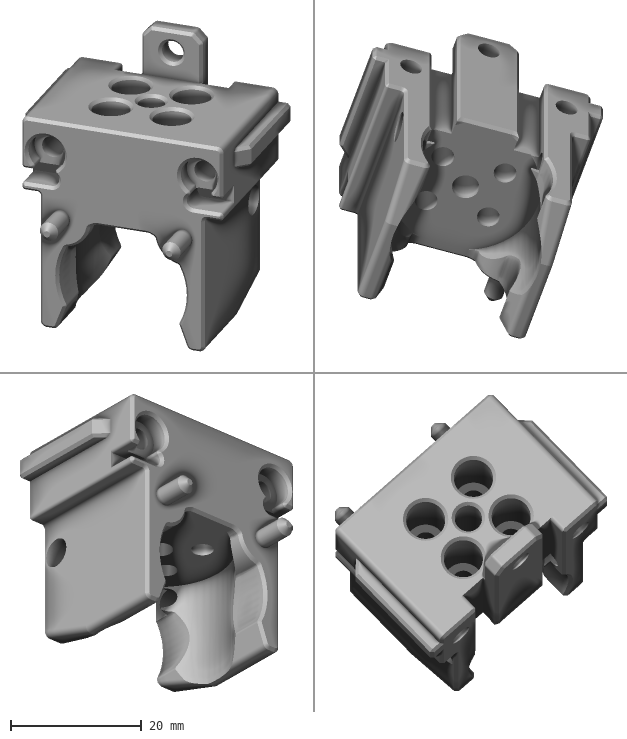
import cadquery as cq
import math

overall_width = 37.0
height = 43.1
depth = 24.4
edge_chamfer = 0.47
small_fillet = 0.5
large_fillet = 1.0

block_half_width = 16.5
block_bottom = 22.6
block_top = 34.95
leg_half_width = 13.5
leg_slope_start = 14.45
leg_rear_rise = 3.25

clip_radius = 10.45
clip_center = (0, 9.1)
clip_ceiling = 18.6
clip_corner_fillet = 1.95
lip_half_width = 9.2
lip_end_half_width = 10.75

pin_center = (10.05, 18.8)
pin_diameter = 3.0
pin_length = 5.0
pin_tip_length = 1.05
pin_tip_diameter = 1.05
pin_boss_radius = 4.75

tab_half_width = 5.0
tab_thickness = 3.1
tab_corner = 1.5
tab_corner_fillet = 0.65
tab_hole_z = 39.38

notch_outer_x = 9.05
notch_fillet = 0.65

rail_half_width = overall_width / 2
rail_bottom = 29.3
rail_top = 32.7
rail_front = 5.1

bore_y = 12.62
bore_radius = 11.65
center_hole_diameter = 4.2
screw_hole_diameter = 3.5
counterbore_diameter = 6.0
top_screw_x = 5.0
top_screw_pitch_y = 8.5
top_counterbore_depth = 11.2

front_screw = (12.5, 29.3)
front_counterbore_depth = 3.0
slot_bottom = 23.9
slot_top = 26.32
slot_depth = 5.0
slot_radius = (slot_top - slot_bottom) / 2
slot_end = (11.67, slot_bottom + slot_radius)

side_hole_y = 21.25
side_hole_z = 16.7
side_hole_mouth_diameter = 4.7
side_hole_diameter = 3.4
side_hole_taper_depth = 5.15

SIDES = (-1, 1)
BACKWARD = (0, 1, 0)
FORWARD = (0, -1, 0)
DOWN = (0, 0, -1)



def box(x_ends, y_ends, z_ends):
    """Block between two X, two Y and two Z positions; the X positions may come in either order."""
    x_start, x_stop = sorted(x_ends)
    size_y = y_ends[1] - y_ends[0]
    size_z = z_ends[1] - z_ends[0]
    block = cq.Workplane("XY").box(x_stop - x_start, size_y, size_z, centered=False)
    return block.translate((x_start, y_ends[0], z_ends[0]))


def cylinder(diameter, length, base, direction):
    return cq.Workplane(cq.Solid.makeCylinder(diameter / 2, length, cq.Vector(base), cq.Vector(direction)))


def cone(start_diameter, end_diameter, length, base, direction):
    return cq.Workplane(
        cq.Solid.makeCone(start_diameter / 2, end_diameter / 2, length, cq.Vector(base), cq.Vector(direction))
    )


def mouth_chamfer(hole_diameter, center, direction):
    """Cutter that widens the mouth of a hole running in the given direction."""
    return cone(hole_diameter + 2 * edge_chamfer, hole_diameter, edge_chamfer, center, direction)


def fillet_at(solid, radius, corner):
    """Round the front-to-back edges that run through the (x, z) corner and its mirror image."""
    tolerance = 0.05

    def is_at_corner(edge):
        middle = edge.Center()
        return math.dist((abs(middle.x), middle.z), corner) < tolerance

    return solid.edges("|Y").filter(is_at_corner).fillet(radius)



def point_on_circle(center, radius, angle):
    return (center[0] + radius * math.cos(angle), center[1] + radius * math.sin(angle))


def direction_angle(start, end):
    return math.atan2(end[1] - start[1], end[0] - start[0])


def circle_crossing(center, radius, other_center, other_radius, turn):
    """Crossing of two circles, to the left (turn = 1) or right (turn = -1) of their centre line."""
    distance = math.dist(center, other_center)
    cosine = (radius**2 + distance**2 - other_radius**2) / (2 * radius * distance)
    angle = direction_angle(center, other_center) + turn * math.acos(cosine)
    return point_on_circle(center, radius, angle)


lip_angle = -math.acos(lip_half_width / clip_radius)
ceiling_angle = math.asin((clip_ceiling - clip_center[1]) / clip_radius)
lip_corner = point_on_circle(clip_center, clip_radius, lip_angle)
boss_low = circle_crossing(clip_center, clip_radius, pin_center, pin_boss_radius, -1)
boss_high = circle_crossing(clip_center, clip_radius, pin_center, pin_boss_radius, 1)
ceiling_corner = point_on_circle(clip_center, clip_radius, ceiling_angle)



def clip_mouth():
    """Round opening with a flat ceiling and flared lips; the pin bosses bulge into it."""
    jaw_angle = (lip_angle + direction_angle(clip_center, boss_low)) / 2
    crown_angle = (direction_angle(clip_center, boss_high) + ceiling_angle) / 2
    boss_angle = direction_angle(pin_center, clip_center)
    half = (
        cq.Workplane("XZ")
        .lineTo(lip_end_half_width, 0)
        .lineTo(*lip_corner)
        .threePointArc(point_on_circle(clip_center, clip_radius, jaw_angle), boss_low)
        .threePointArc(point_on_circle(pin_center, pin_boss_radius, boss_angle), boss_high)
        .threePointArc(point_on_circle(clip_center, clip_radius, crown_angle), ceiling_corner)
        .lineTo(0, clip_ceiling)
        .close()
        .extrude(-depth)
    )
    return half.union(half.mirror("YZ"))


def rear_slope():
    """Wedge that lifts the rear of the leg tips."""
    return (
        cq.Workplane("YZ", origin=(-leg_half_width, 0, 0))
        .polyline([(leg_slope_start, 0), (depth, leg_rear_rise), (depth, 0)])
        .close()
        .extrude(2 * leg_half_width)
    )


def round_leg_tips(solid):
    """Round the long bottom edges of both legs, along the flat and along the rear slope."""
    tolerance = 0.05

    def is_long_tip_edge(edge):
        start, end = edge.startPoint(), edge.endPoint()
        is_low = max(start.z, end.z) < leg_rear_rise + tolerance
        runs_along_leg = abs(start.y - end.y) > abs(start.x - end.x)
        return is_low and runs_along_leg

    return solid.edges("not |Z").filter(is_long_tip_edge).fillet(large_fillet)


def block_and_legs():
    block = box((-block_half_width, block_half_width), (0, depth), (block_bottom, block_top))
    legs = box((-leg_half_width, leg_half_width), (0, depth), (0, block_bottom))
    solid = block.union(legs).cut(clip_mouth())
    solid = fillet_at(solid, large_fillet, (block_half_width, block_top))
    solid = fillet_at(solid, clip_corner_fillet, ceiling_corner)
    small_corners = [
        (block_half_width, block_bottom),
        (leg_half_width, block_bottom),
        lip_corner,
        boss_low,
        boss_high,
    ]
    for corner in small_corners:
        solid = fillet_at(solid, small_fillet, corner)
    return round_leg_tips(solid.cut(rear_slope()))


def rear_notch(side):
    """Full-height notch beside the tab, with a chamfered mouth and a rounded outer top edge."""
    front = depth - tab_thickness
    mouth = depth - edge_chamfer
    plan = [
        (side * tab_half_width, front),
        (side * notch_outer_x, front),
        (side * notch_outer_x, mouth),
        (side * (notch_outer_x + edge_chamfer), depth),
        (side * (tab_half_width - edge_chamfer), depth),
        (side * tab_half_width, mouth),
    ]
    notch = cq.Workplane("XY").polyline(plan).close().extrude(block_top)
    round_x = side * (notch_outer_x + notch_fillet)
    round_z = block_top - notch_fillet
    corner = box((side * notch_outer_x, round_x), (front, depth), (round_z, block_top))
    round_edge = cylinder(2 * notch_fillet, tab_thickness, (round_x, front, round_z), BACKWARD)
    return notch.union(corner.cut(round_edge))



def tab():
    """Upright plate with a screw hole; its foot is sunk into the rear edge of the block."""
    front = depth - tab_thickness
    foot = block_top - large_fillet
    corner_z = height - tab_corner
    corner_x = tab_half_width - tab_corner
    outline = [
        (tab_half_width, foot),
        (tab_half_width, corner_z),
        (corner_x, height),
        (-corner_x, height),
        (-tab_half_width, corner_z),
        (-tab_half_width, foot),
    ]
    plate = cq.Workplane("XZ", origin=(0, front, 0)).polyline(outline).close().extrude(-tab_thickness)
    plate = fillet_at(plate, tab_corner_fillet, (tab_half_width, corner_z))
    plate = fillet_at(plate, tab_corner_fillet, (corner_x, height))
    plate = plate.faces("<Y or >Y").edges("not <Z").chamfer(edge_chamfer)
    hole_center = (0, front, tab_hole_z)
    plate = plate.cut(cylinder(screw_hole_diameter, tab_thickness, hole_center, BACKWARD))
    return plate.cut(mouth_chamfer(screw_hole_diameter, hole_center, BACKWARD))


def rail(side):
    """Chamfered side rail with a 45 degree front end; its root is sunk into the block."""
    root_x = block_half_width - large_fillet
    root_front = rail_front - large_fillet
    plan = [
        (side * root_x, depth),
        (side * root_x, root_front),
        (side * rail_half_width, root_front + rail_half_width - root_x),
        (side * rail_half_width, depth),
    ]
    bar = cq.Workplane("XY", origin=(0, 0, rail_bottom)).polyline(plan).close()
    bar = bar.extrude(rail_top - rail_bottom)
    return bar.edges("#Z or >Y").chamfer(edge_chamfer)


def pin(side):
    """Pin with a conical tip."""
    x, z = side * pin_center[0], pin_center[1]
    shaft = cylinder(pin_diameter, pin_length, (x, 0, z), FORWARD)
    tip = cone(pin_diameter, pin_tip_diameter, pin_tip_length, (x, -pin_length, z), FORWARD)
    return shaft.union(tip)



def top_holes():
    """Large bore up to the clip ceiling, and above it the central passage and four screw holes."""
    roof = block_top - clip_ceiling
    center = (0, bore_y, block_top)
    holes = cylinder(2 * bore_radius, clip_ceiling, (0, bore_y, clip_ceiling), DOWN)
    holes = holes.union(cylinder(center_hole_diameter, roof, center, DOWN))
    holes = holes.union(mouth_chamfer(center_hole_diameter, center, DOWN))
    for side in SIDES:
        for row in SIDES:
            place = (side * top_screw_x, bore_y + row * top_screw_pitch_y / 2, block_top)
            holes = holes.union(cylinder(screw_hole_diameter, roof, place, DOWN))
            holes = holes.union(cylinder(counterbore_diameter, top_counterbore_depth, place, DOWN))
            holes = holes.union(mouth_chamfer(counterbore_diameter, place, DOWN))
    return holes


def side_slot(side):
    """Slot with a round inner end, open to the side of the block."""
    end_x = side * slot_end[0]
    slot = box((end_x, side * block_half_width), (0, slot_depth), (slot_bottom, slot_top))
    return slot.union(cylinder(2 * slot_radius, slot_depth, (end_x, 0, slot_end[1]), BACKWARD))


def counterbore_and_throat(side):
    """Counterbore that runs into the slot below it through two rounded corners."""
    radius = counterbore_diameter / 2
    blend_radius = radius + small_fillet

    outer_rise = front_screw[1] - slot_top - small_fillet
    outer_center = (front_screw[0] + math.sqrt(blend_radius**2 - outer_rise**2), slot_top + small_fillet)
    inner_center = circle_crossing(front_screw, blend_radius, slot_end, slot_radius + small_fillet, -1)

    def on_outer(angle):
        return point_on_circle(outer_center, small_fillet, angle)

    def on_inner(angle):
        return point_on_circle(inner_center, small_fillet, angle)

    inner_start = direction_angle(inner_center, slot_end)
    inner_stop = direction_angle(inner_center, front_screw)
    outer_start = direction_angle(outer_center, front_screw)
    outer_stop = 1.5 * math.pi
    recess = (
        cq.Workplane("XZ")
        .moveTo(block_half_width, slot_bottom)
        .lineTo(slot_end[0], slot_bottom)
        .threePointArc((slot_end[0] - slot_radius, slot_end[1]), on_inner(inner_start))
        .threePointArc(on_inner((inner_start + inner_stop) / 2), on_inner(inner_stop))
        .threePointArc((front_screw[0], front_screw[1] + radius), on_outer(outer_start))
        .threePointArc(on_outer((outer_start + outer_stop) / 2), on_outer(outer_stop))
        .lineTo(block_half_width, slot_top)
        .close()
        .extrude(-front_counterbore_depth)
    )
    return recess if side > 0 else recess.mirror("YZ")


def front_screw_hole(side):
    center = (side * front_screw[0], 0, front_screw[1])
    return cylinder(screw_hole_diameter, depth, center, BACKWARD)


def side_hole(side):
    """Hole through one leg that tapers from its mouth to a straight bore."""
    mouth = (side * leg_half_width, side_hole_y, side_hole_z)
    inward = (-side, 0, 0)
    bore = cylinder(side_hole_diameter, leg_half_width, mouth, inward)
    return bore.union(
        cone(side_hole_mouth_diameter, side_hole_diameter, side_hole_taper_depth, mouth, inward)
    )


result = block_and_legs()
result = result.faces(">Y").edges().chamfer(edge_chamfer)

for side in SIDES:
    result = result.cut(rear_notch(side))
    result = result.cut(side_slot(side))
    result = result.cut(counterbore_and_throat(side))
for slot_edge_z in (slot_bottom, slot_top):
    result = fillet_at(result, small_fillet, (block_half_width, slot_edge_z))
result = result.faces("<Y").edges().chamfer(edge_chamfer)

result = result.union(tab())
for side in SIDES:
    result = result.union(rail(side))

result = result.cut(top_holes())
for side in SIDES:
    result = result.cut(front_screw_hole(side))
    result = result.cut(side_hole(side))
    result = result.union(pin(side))